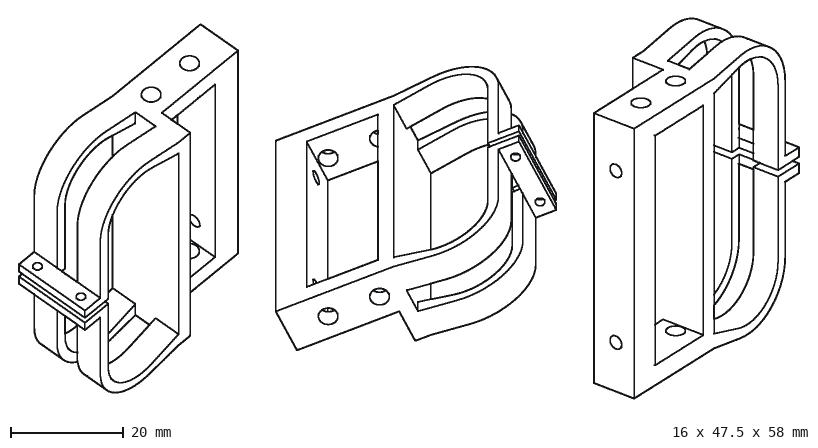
import cadquery as cq
import math

width = 16.0
depth = 47.5
height = 58.0

frame_width = 9.1
frame_height = 55.1
window_back = 6.05
window_front = 19.95
window_height = 46.85

plate_back = window_front
plate_front = 23.0

lug_length = 4.0
strap_thickness = 2.1
strap_front = depth - lug_length
bend_radius = 11.0
cavity_back_height = 49.05
strap_width = 5.55
strap_gap = width - 2 * strap_width

lug_thickness = 2.0
lug_gap = 1.35

frame_hole_diameter = 3.5
frame_hole_x = 4.8
frame_hole_ys = (8.05, 18.1)
back_hole_diameter = 2.6
back_hole_x = 4.1
back_hole_spacing = 35.05
lug_hole_diameter = 1.7
lug_hole_spacing = 10.5
lug_hole_y = depth - 1.9

bend_y = strap_front - bend_radius
bend_z = height / 2 - bend_radius


def box(x_range, y_range, z_range):
    """Box spanning the given limits along each axis."""
    (x0, x1), (y0, y1), (z0, z1) = x_range, y_range, z_range
    return cq.Workplane("XY").box(x1 - x0, y1 - y0, z1 - z0, centered=False).translate((x0, y0, z0))


def to_front(y, z):
    """YZ sketch point for a distance y measured from the back towards -Y."""
    return (-y, z)


def bend_point(radius, angle):
    """Point on a bend, with the angle measured from the forward direction."""
    return bend_y + radius * math.cos(angle), bend_z + radius * math.sin(angle)


def clamp_profile(root_height, radius):
    """Symmetric closed outline: plate face, tangent slopes, round bends and straight front."""
    root_z = root_height / 2
    root_dy = plate_front - bend_y
    root_dz = root_z - bend_z
    tangent_angle = math.atan2(root_dz, root_dy) - math.acos(radius / math.hypot(root_dy, root_dz))
    slope_end = bend_point(radius, tangent_angle)
    bend_middle = bend_point(radius, tangent_angle / 2)
    bend_end = bend_point(radius, 0)

    def upper(point):
        return to_front(*point)

    def lower(point):
        return to_front(point[0], -point[1])

    root = (plate_front, root_z)
    return (
        cq.Workplane("YZ")
        .moveTo(*upper(root))
        .lineTo(*upper(slope_end))
        .threePointArc(upper(bend_middle), upper(bend_end))
        .lineTo(*lower(bend_end))
        .threePointArc(lower(bend_middle), lower(slope_end))
        .lineTo(*lower(root))
        .close()
        .extrude(width)
    )


def make_frame():
    half_height = frame_height / 2
    full_z = (-half_height, half_height)
    frame = box((0, frame_width), (-plate_front, 0), full_z)
    plate = box((0, width), (-plate_front, -plate_back), full_z)
    window = box(
        (0, frame_width),
        (-window_front, -window_back),
        (-window_height / 2, window_height / 2),
    )
    return frame.cut(window).union(plate)


def make_straps():
    """Two parallel straps, split from one bent band."""
    outer = clamp_profile(frame_height, bend_radius)
    inner = clamp_profile(cavity_back_height, bend_radius - strap_thickness)
    gap = box(
        (strap_width, strap_width + strap_gap),
        (-depth, -plate_front),
        (-height / 2, height / 2),
    )
    return outer.cut(inner).cut(gap)


def make_lugs():
    """Block across the strap fronts that forms both lugs once the slit is cut."""
    half_height = lug_gap / 2 + lug_thickness
    return box((0, width), (-depth, -strap_front), (-half_height, half_height))


def make_slit():
    return box((0, width), (-depth, -plate_front), (-lug_gap / 2, lug_gap / 2))


def vertical_holes(points, diameter):
    return cq.Workplane("XY").pushPoints(points).circle(diameter / 2).extrude(height / 2, both=True)


def back_holes():
    points = [(back_hole_x, side * back_hole_spacing / 2) for side in (-1, 1)]
    return cq.Workplane("XZ").pushPoints(points).circle(back_hole_diameter / 2).extrude(window_back)


frame_hole_points = [(frame_hole_x, -y) for y in frame_hole_ys]
lug_hole_points = [(width / 2 + side * lug_hole_spacing / 2, -lug_hole_y) for side in (-1, 1)]

result = (
    make_frame()
    .union(make_straps())
    .union(make_lugs())
    .cut(make_slit())
    .cut(vertical_holes(frame_hole_points, frame_hole_diameter))
    .cut(vertical_holes(lug_hole_points, lug_hole_diameter))
    .cut(back_holes())
)